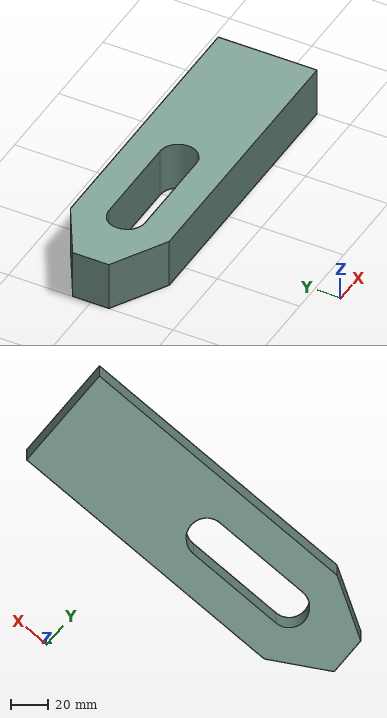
import math

import cadquery as cq

length = 200.0
width = 60.0
height = 30.0

nose_width = 22.0
taper_angle = 30.0
taper_length = (width - nose_width) / 2 / math.tan(math.radians(taper_angle))

slot_start = 30.0
slot_length = 80.0
slot_width = 22.0


def make_bar():
    """Rectangular bar narrowing to a flat nose."""
    outline = [
        (0, -nose_width / 2),
        (taper_length, -width / 2),
        (length, -width / 2),
        (length, width / 2),
        (taper_length, width / 2),
        (0, nose_width / 2),
    ]
    return cq.Workplane("XY").polyline(outline).close().extrude(height)


def make_slot():
    """Solid that fills the bolt slot over the full height."""
    slot_center = slot_start + slot_length / 2
    return (
        cq.Workplane("XY")
        .center(slot_center, 0)
        .slot2D(slot_length, slot_width)
        .extrude(height)
    )


result = make_bar().cut(make_slot())